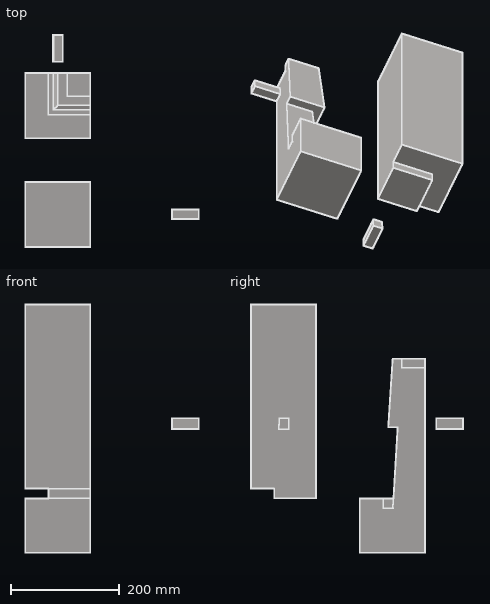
import cadquery as cq


block_side = 120.0
base_height = 100.0
total_height = 457.0
block_gap = 80.0

register_side = 77.3
register_depth = 18.0

lower_root_side = 59.5
lower_top_side = 50.7
upper_bottom_side = 68.0
upper_top_side = 60.0
shoulder_z = 231.0
core_top_z = 357.0
notch_side = 43.0
notch_depth = 17.0

insert_length = 50.0
insert_height = 20.0
insert_bottom_z = 227.5
insert_inner = 50.7
insert_bottom_width = 18.5
insert_top_width = 17.0
side_insert_gap = 150.0
rear_insert_gap = 20.0

cover_back_y = -(block_side + block_gap)
recess_floor_z = base_height - register_depth


def corner_block(side, bottom_z, top_z, back_y=0.0):
    """Square block whose +X, +Y corner stands at X = 0, Y = back_y."""
    return (
        cq.Workplane("XY")
        .box(side, side, top_z - bottom_z, centered=False)
        .translate((-side, back_y - side, bottom_z))
    )


def corner_taper(bottom_side, top_side, bottom_z, top_z):
    """Square taper with upright +X and +Y faces at X = 0 and Y = 0."""
    return (
        cq.Workplane("XY", origin=(0, 0, bottom_z))
        .center(-bottom_side / 2, -bottom_side / 2)
        .rect(bottom_side, bottom_side)
        .workplane(offset=top_z - bottom_z)
        .center((bottom_side - top_side) / 2, (bottom_side - top_side) / 2)
        .rect(top_side, top_side)
        .loft(ruled=True)
    )


def make_core_base():
    """Base block with the stepped core rising from its corner recess."""
    base = corner_block(block_side, 0, base_height)
    recess = corner_block(register_side, recess_floor_z, base_height)
    lower_core = corner_taper(lower_root_side, lower_top_side, recess_floor_z, shoulder_z)
    upper_core = corner_taper(upper_bottom_side, upper_top_side, shoulder_z, core_top_z)
    notch = corner_block(notch_side, core_top_z - notch_depth, core_top_z)
    return base.cut(recess).union(lower_core).union(upper_core).cut(notch)


def make_cover():
    """Tall block with the register tab under its +X, +Y corner."""
    tab_top_z = base_height + register_depth
    block = corner_block(block_side, tab_top_z, total_height, cover_back_y)
    tab = corner_block(register_side, base_height, tab_top_z, cover_back_y)
    return block.union(tab)


def insert_profile(plane):
    """Section with an upright inner side and a sloping outer side."""
    top_z = insert_bottom_z + insert_height
    return plane.polyline([
        (-insert_inner, insert_bottom_z),
        (-insert_inner - insert_bottom_width, insert_bottom_z),
        (-insert_inner - insert_top_width, top_z),
        (-insert_inner, top_z),
    ]).close()


def make_rear_insert():
    """Insert lying along Y behind the base."""
    return (
        insert_profile(cq.Workplane("XZ"))
        .extrude(-insert_length)
        .translate((0, rear_insert_gap, 0))
    )


def make_side_insert():
    """Insert lying along X beside the cover."""
    return (
        insert_profile(cq.Workplane("YZ"))
        .extrude(insert_length)
        .translate((side_insert_gap, cover_back_y, 0))
    )


core_base = make_core_base()
cover = make_cover()
rear_insert = make_rear_insert()
side_insert = make_side_insert()

result = cq.Compound.makeCompound([
    core_base.val(),
    cover.val(),
    rear_insert.val(),
    side_insert.val(),
])